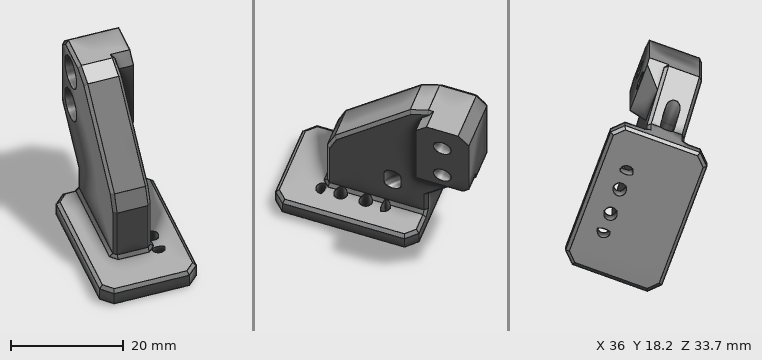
import cadquery as cq
import math

length = 36.03
base_width = 18.23
height = 33.7

edge_chamfer = 0.6
corner_cut = 2.0

base_left = 8.95
base_thickness = 3.7

plate_front = 4.83
plate_back = 11.9
plate_right = 28.03
overhang_corner_z = 17.73
foot_top = base_thickness + edge_chamfer

boss_width = 10.0
boss_back = 14.9
boss_setback = 1.0
boss_ramp_z = 17.65

screw_diameter = 3.3
counterbore_diameter = 6.3
counterbore_depth = 3.0
screw_spacing = 8.0
screw_inset = 5.0

pin_diameter = 2.38
pin_y = 13.1
inner_pin_offset = 2.38
outer_pin_offset = 5.75
outer_pin_flat = 0.45

channel_width = 2.6
channel_height = 5.08
channel_z = 10.7
channel_bend_radius = 8.0
channel_turn = 90
upright = 90
channel_bend_x = base_left

base_middle_x = (base_left + length) / 2
plate_middle_y = (plate_front + plate_back) / 2
underside_end_z = overhang_corner_z - base_left


def box(x0, x1, y0, y1, z0, z1):
    return cq.Workplane("XY").box(x1 - x0, y1 - y0, z1 - z0, centered=False).translate((x0, y0, z0))


def prism_along_y(points, y0, y1):
    """Extrude an XZ outline from y0 to y1."""
    return cq.Workplane("XZ", origin=(0, y0, 0)).polyline(points).close().extrude(y0 - y1)


def make_base():
    slab = box(base_left, length, 0, base_width, 0, base_thickness)
    slab = slab.edges("|Z").chamfer(corner_cut)
    return slab.faces("<Z or >Z").edges().chamfer(edge_chamfer)


def make_plate():
    cut_diagonal = corner_cut / math.sqrt(2)
    slope_top_x = base_left + corner_cut
    slope_low_z = height - (plate_right - slope_top_x)
    outline = [
        (base_left, 0),
        (base_left, underside_end_z),
        (0, overhang_corner_z),
        (0, height - corner_cut),
        (corner_cut, height),
        (base_left, height),
        (slope_top_x + cut_diagonal, height - cut_diagonal),
        (plate_right - cut_diagonal, slope_low_z + cut_diagonal),
        (plate_right, slope_low_z - corner_cut),
        (plate_right, 0),
    ]
    plate = prism_along_y(outline, plate_front, plate_back)
    plate = plate.faces("<Y or >Y").edges().chamfer(edge_chamfer)
    above_base = box(0, length, 0, base_width, base_thickness / 2, height)
    return plate.intersect(above_base)


def foot_section(z, flare):
    """Rectangle around the plate, grown by the flare, with 45 degree corners."""
    corner = edge_chamfer + flare
    x0 = base_left - flare
    x1 = plate_right + flare
    y0 = plate_front - flare
    y1 = plate_back + flare
    return cq.Wire.makePolygon(
        [
            cq.Vector(x, y, z)
            for x, y in [
                (x0 + corner, y0), (x1 - corner, y0), (x1, y0 + corner), (x1, y1 - corner),
                (x1 - corner, y1), (x0 + corner, y1), (x0, y1 - corner), (x0, y0 + corner),
            ]
        ],
        close=True,
    )


def make_foot():
    """Flared foot that also runs down across the chamfered left edge of the base."""
    flare = 2 * edge_chamfer
    foot = cq.Solid.makeLoft([foot_section(foot_top - flare, flare), foot_section(foot_top, 0)], True)
    return cq.Workplane(foot).intersect(box(base_left, length, 0, base_width, 0, height))


def make_boss():
    boss_front = plate_back - edge_chamfer
    ramp_front_z = boss_ramp_z - (boss_back - boss_front)
    left_corner_z = overhang_corner_z + boss_setback
    outline = [
        (0, left_corner_z),
        (0, height - corner_cut),
        (corner_cut, height),
        (boss_width - corner_cut, height),
        (boss_width, height - corner_cut),
        (boss_width, ramp_front_z),
        (left_corner_z - ramp_front_z, ramp_front_z),
    ]
    side = [
        (boss_front, ramp_front_z),
        (boss_back, boss_ramp_z),
        (boss_back, height),
        (boss_front, height),
    ]
    ramp = cq.Workplane("YZ").polyline(side).close().extrude(boss_width)
    return prism_along_y(outline, boss_front, boss_back).intersect(ramp)


def make_screw_holes():
    top_z = height - screw_inset
    places = [(screw_inset, top_z), (screw_inset, top_z - screw_spacing)]
    face = cq.Workplane("XZ", origin=(0, plate_front, 0)).pushPoints(places)
    through = face.circle(screw_diameter / 2).extrude(plate_front - boss_back)
    return through.union(face.circle(counterbore_diameter / 2).extrude(-counterbore_depth))


def make_pin_holes():
    radius = pin_diameter / 2
    holes = cq.Workplane("XY")
    for side in (-1, 1):
        inner_x = base_middle_x + side * inner_pin_offset
        outer_x = base_middle_x + side * outer_pin_offset
        inner = cq.Workplane("XY").center(inner_x, pin_y).circle(radius).extrude(foot_top)
        half_round = (
            cq.Workplane("XY")
            .moveTo(outer_x, pin_y - radius)
            .threePointArc((outer_x + side * radius, pin_y), (outer_x, pin_y + radius))
            .close()
            .extrude(foot_top)
        )
        shallow = (
            cq.Workplane("XY").center(outer_x, pin_y).ellipse(outer_pin_flat, radius).extrude(foot_top)
        )
        holes = holes.add(inner).add(half_round.union(shallow))
    return holes.combine()


def make_channel():
    start = cq.Workplane("YZ", origin=(channel_bend_x, plate_middle_y, channel_z))
    entry = start.slot2D(channel_height, channel_width, upright).extrude(-channel_bend_x)
    bend = start.slot2D(channel_height, channel_width, upright).revolve(
        channel_turn, (channel_bend_radius, 0, 0), (channel_bend_radius, 1, 0)
    )
    return entry.union(bend)


result = make_base().union(make_plate()).union(make_foot()).union(make_boss())
result = result.cut(make_screw_holes()).cut(make_pin_holes()).cut(make_channel())